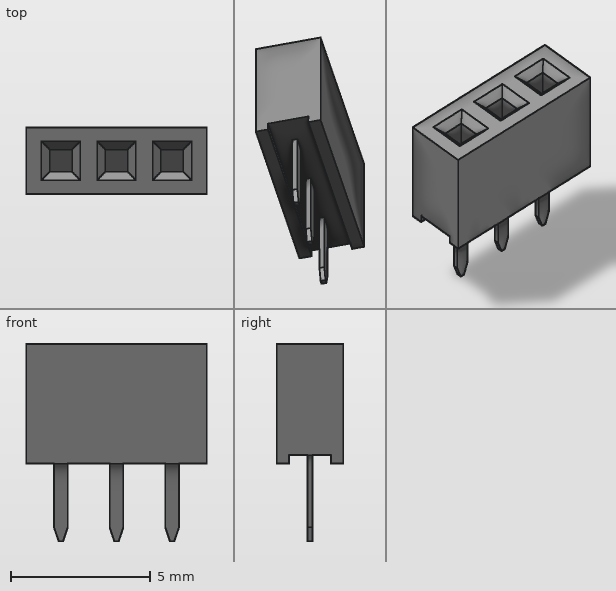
import cadquery as cq

housing_length = 6.5
housing_width = 2.4
housing_height = 4.3

contact_count = 3
pitch = 2.0

channel_width = 1.5
channel_depth = 0.3

lead_in_size = 1.4
lead_in_depth = 0.3
socket_size = 0.8
socket_depth = 3.0

pin_width = 0.5
pin_thickness = 0.18
pin_length = 2.8
tip_height = 0.5
tip_width = 0.16

contact_positions = [(i - (contact_count - 1) / 2) * pitch for i in range(contact_count)]


def make_housing():
    block = cq.Workplane("XY").box(
        housing_length, housing_width, housing_height, centered=(True, True, False)
    )
    channel = cq.Workplane("XY").box(
        housing_length, channel_width, channel_depth, centered=(True, True, False)
    )
    return block.cut(channel)


def make_socket(x):
    """Cavity of one socket: a tapered mouth above a straight square hole."""
    mouth = (
        cq.Workplane("XY", origin=(x, 0, housing_height))
        .rect(lead_in_size, lead_in_size)
        .workplane(offset=-lead_in_depth)
        .rect(socket_size, socket_size)
        .loft(ruled=True)
    )
    hole = (
        cq.Workplane("XY", origin=(x, 0, housing_height - socket_depth))
        .rect(socket_size, socket_size)
        .extrude(socket_depth - lead_in_depth)
    )
    return mouth.union(hole)


def make_pin(x):
    """Flat pin from the roof of the channel down to its tapered tip."""
    shoulder_z = tip_height - pin_length
    outline = [
        (-pin_width / 2, channel_depth),
        (-pin_width / 2, shoulder_z),
        (-tip_width / 2, -pin_length),
        (tip_width / 2, -pin_length),
        (pin_width / 2, shoulder_z),
        (pin_width / 2, channel_depth),
    ]
    return (
        cq.Workplane("XZ", origin=(x, 0, 0))
        .polyline(outline)
        .close()
        .extrude(pin_thickness / 2, both=True)
    )


result = make_housing()
for contact_x in contact_positions:
    result = result.cut(make_socket(contact_x))
    result = result.union(make_pin(contact_x))